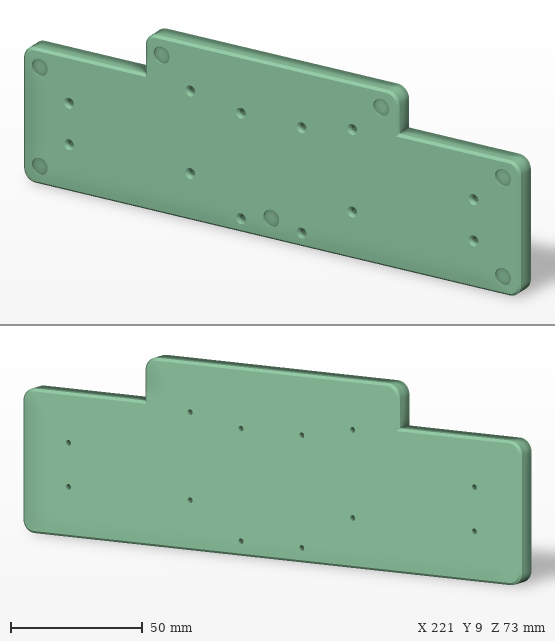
import cadquery as cq

width = 221.0
height = 73.0
thickness = 9.0
tab_width = 112.7
hole_pitch = 17.0
corner_radius = 5.0
edge_chamfer = 1.0

half_width = width / 2
half_height = height / 2
half_tab = tab_width / 2
shoulder_z = half_height - hole_pitch

foot_diameter = 7.0
foot_depth = 1.0
foot_inset = 7.5
middle_foot_z = -27.6

screw_diameter = 2.2
countersink_diameter = 4.5
countersink_angle = 90
outer_screw_x = 90.0
middle_screw_x = 36.0
inner_screw_x = 13.5
inner_screw_top_z = 12.8
inner_screw_bottom_z = -30.7


def mirrored(places):
    """Return the given (x, z) places together with their mirror images across X = 0."""
    return [(side * x, z) for x, z in places for side in (-1, 1)]


def make_plate():
    """Stepped plate with rounded outer corners, sharp inner corners and chamfered rims."""
    plate = (
        cq.Workplane("XZ")
        .moveTo(-half_width, -half_height)
        .lineTo(half_width, -half_height)
        .lineTo(half_width, shoulder_z)
        .lineTo(half_tab, shoulder_z)
        .lineTo(half_tab, half_height)
        .lineTo(-half_tab, half_height)
        .lineTo(-half_tab, shoulder_z)
        .lineTo(-half_width, shoulder_z)
        .close()
        .extrude(thickness / 2, both=True)
    )
    plate = plate.edges("|Y and (<X or >X)").fillet(corner_radius)
    plate = plate.edges("|Y and >Z").fillet(corner_radius)
    return plate.faces("<Y or >Y").chamfer(edge_chamfer)


foot_places = mirrored([
    (half_width - foot_inset, -half_height + foot_inset),
    (half_width - foot_inset, shoulder_z - foot_inset),
    (half_tab - foot_inset, half_height - foot_inset),
]) + [(0, middle_foot_z)]

screw_places = mirrored([
    (outer_screw_x, 0),
    (outer_screw_x, -hole_pitch),
    (middle_screw_x, hole_pitch),
    (middle_screw_x, -hole_pitch),
    (inner_screw_x, inner_screw_top_z),
    (inner_screw_x, inner_screw_bottom_z),
])

front_plane = cq.Workplane("XZ", origin=(0, -thickness / 2, 0))
feet = front_plane.pushPoints(foot_places).circle(foot_diameter / 2).extrude(-foot_depth)

result = (
    make_plate()
    .cut(feet)
    .copyWorkplane(front_plane)
    .pushPoints(screw_places)
    .cskHole(screw_diameter, countersink_diameter, countersink_angle)
)